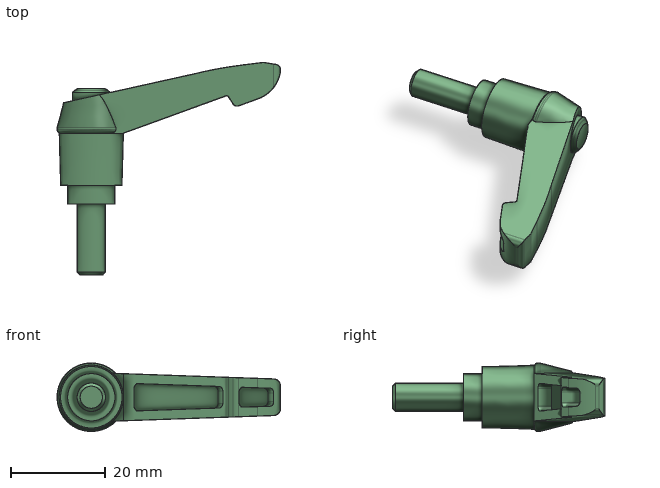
import cadquery as cq
import math


stud_radius = 3.0
stud_length = 15.0
stud_chamfer = 0.65
collar_radius = 5.0
collar_length = 4.0
skirt_end_radius = 6.5
skirt_top_radius = 6.8

hub_base = 15.0
rim_radius = 7.25
rim_rounding = 0.8
rim_band = 0.4
cone_angle = 14.5
hub_cone_height = 10.0

head_radius = 4.0
head_top = 24.5
head_flat_radius = 2.85
head_bevel_radius = 3.55
head_bevel_height = 0.45
head_rounding_height = 0.9

top_angle = 12.5
top_height_at_axis = 22.75
bend_x = 21.0
arm_end_x = 40.0
crest_x = 36.4
crest_y = 30.0
crown_end_x = 32.3
crown_end_y = 29.5
underside_angle = 20.0
notch_x = 28.8
notch_rounding = 0.47
pad_heel_x = 30.4
pad_heel_y = 20.5
pad_heel_rounding = 1.0
pad_toe_x = 35.1
nose_mid_x = 38.5
nose_mid_y = 24.6
nose_end_y = 28.0
brow_x = 38.9
brow_y = 29.6
brow_mid_x = 39.8
brow_mid_y = 29.1

half_width_at_axis = 5.24
width_taper = 2.0
end_corner_radius = 1.5

pocket_wall = 2.0
pocket_corner_radius = 1.0
pocket_mouth_clearance = 0.5
long_pocket_start_x = 9.05
long_pocket_end_x = 27.8
long_pocket_depth = 3.0
pad_pocket_start = 0.9
pad_pocket_end = 9.1
pad_pocket_depth = 4.7

underside_slope = math.tan(math.radians(underside_angle))
notch_y = hub_base + (notch_x - skirt_top_radius) * underside_slope
pad_toe_y = pad_heel_y + (pad_toe_x - pad_heel_x) * underside_slope


def top_height(x):
    """Y of the straight sloping top of the hub and arm."""
    return top_height_at_axis + x * math.tan(math.radians(top_angle))


def half_width(x):
    """Half the arm width at X."""
    return half_width_at_axis - x * math.tan(math.radians(width_taper))


def revolve_about_stud(outline):
    return outline.close().revolve(360, (0, 0, 0), (0, 1, 0))


def make_stem():
    outline = (
        cq.Workplane("XY")
        .moveTo(0, -stud_length)
        .lineTo(stud_radius - stud_chamfer, -stud_length)
        .lineTo(stud_radius, -stud_length + stud_chamfer)
        .lineTo(stud_radius, 0)
        .lineTo(collar_radius, 0)
        .lineTo(collar_radius, collar_length)
        .lineTo(skirt_end_radius, collar_length)
        .lineTo(skirt_top_radius, hub_base)
        .lineTo(0, hub_base)
    )
    return revolve_about_stud(outline)


def make_hub():
    band_bottom = hub_base + rim_rounding
    band_top = band_bottom + rim_band
    cone_top = band_top + hub_cone_height
    cone_top_radius = rim_radius - hub_cone_height * math.tan(math.radians(cone_angle))
    diagonal = rim_rounding * math.sqrt(0.5)
    rounding_centre = rim_radius - rim_rounding
    outline = (
        cq.Workplane("XY")
        .moveTo(0, hub_base)
        .lineTo(rounding_centre, hub_base)
        .threePointArc((rounding_centre + diagonal, band_bottom - diagonal), (rim_radius, band_bottom))
        .lineTo(rim_radius, band_top)
        .lineTo(cone_top_radius, cone_top)
        .lineTo(0, cone_top)
    )
    reach = 2 * rim_radius
    below_top = (
        cq.Workplane("XY")
        .moveTo(-reach, 0)
        .lineTo(reach, 0)
        .lineTo(reach, top_height(reach))
        .lineTo(-reach, top_height(-reach))
        .close()
        .extrude(reach, both=True)
    )
    return revolve_about_stud(outline).intersect(below_top)


def make_screw_head():
    outline = (
        cq.Workplane("XY")
        .moveTo(0, hub_base)
        .lineTo(head_radius, hub_base)
        .lineTo(head_radius, head_top - head_rounding_height)
        .lineTo(head_bevel_radius, head_top - head_bevel_height)
        .lineTo(head_flat_radius, head_top)
        .lineTo(0, head_top)
    )
    return revolve_about_stud(outline)


def make_arm():
    bend_y = top_height(bend_x)
    side = (
        cq.Workplane("XY")
        .moveTo(0, hub_base)
        .lineTo(skirt_top_radius, hub_base)
        .lineTo(notch_x, notch_y)
        .lineTo(pad_heel_x, pad_heel_y)
        .lineTo(pad_toe_x, pad_toe_y)
        .threePointArc((nose_mid_x, nose_mid_y), (arm_end_x, nose_end_y))
        .threePointArc((brow_mid_x, brow_mid_y), (brow_x, brow_y))
        .lineTo(crest_x, crest_y)
        .lineTo(crown_end_x, crown_end_y)
        .tangentArcPoint((bend_x, bend_y), relative=False)
        .lineTo(0, top_height_at_axis)
        .close()
        .extrude(half_width_at_axis, both=True)
    )
    for x, y, radius in (
        (notch_x, notch_y, notch_rounding),
        (pad_heel_x, pad_heel_y, pad_heel_rounding),
    ):
        side = side.edges(cq.selectors.NearestToPointSelector((x, y, 0))).fillet(radius)

    plan = (
        cq.Workplane("XZ")
        .moveTo(0, -half_width_at_axis)
        .lineTo(arm_end_x, -half_width(arm_end_x))
        .lineTo(arm_end_x, half_width(arm_end_x))
        .lineTo(0, half_width_at_axis)
        .close()
        .extrude(-2 * crest_y)
        .edges("|Y and >X")
        .fillet(end_corner_radius)
    )
    return side.intersect(plan)


def make_pocket(origin_x, origin_y, start, end, depth):
    """Tapered pocket running from start to end along the underside through the origin."""
    angle = math.radians(underside_angle)
    along = (math.cos(angle), math.sin(angle), 0)
    inward = (-math.sin(angle), math.cos(angle), 0)
    mouth_x = origin_x - pocket_mouth_clearance * inward[0]
    mouth_y = origin_y - pocket_mouth_clearance * inward[1]
    start_half = half_width(origin_x + start * along[0]) - pocket_wall
    end_half = half_width(origin_x + end * along[0]) - pocket_wall
    return (
        cq.Workplane(cq.Plane((mouth_x, mouth_y, 0), along, inward))
        .moveTo(start, -start_half)
        .lineTo(end, -end_half)
        .lineTo(end, end_half)
        .lineTo(start, start_half)
        .close()
        .extrude(depth + pocket_mouth_clearance)
        .edges(cq.selectors.ParallelDirSelector(cq.Vector(*inward)))
        .fillet(pocket_corner_radius)
    )


along_per_x = 1 / math.cos(math.radians(underside_angle))
long_pocket = make_pocket(
    skirt_top_radius,
    hub_base,
    (long_pocket_start_x - skirt_top_radius) * along_per_x,
    (long_pocket_end_x - skirt_top_radius) * along_per_x,
    long_pocket_depth,
)
pad_pocket = make_pocket(pad_heel_x, pad_heel_y, pad_pocket_start, pad_pocket_end, pad_pocket_depth)

arm = make_arm().cut(long_pocket).cut(pad_pocket)
result = make_stem().union(make_hub()).union(arm).union(make_screw_head())